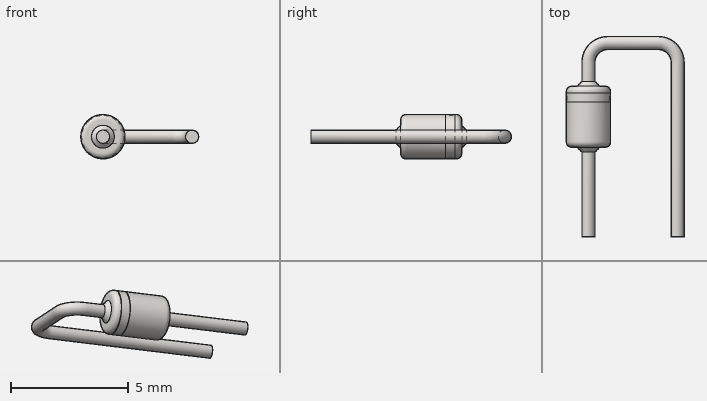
import cadquery as cq


wire_radius = 0.28
lead_pitch = 3.805
bend_radius = 0.82
bend_top = 8.55

housing_radius = 0.95
housing_length = 2.61
housing_start = 3.82
edge_radius = 0.23
cone_height = 0.205
cone_base_radius = 0.49

band_width = 0.4
band_end_distance = 0.28
band_thickness = 0.04

housing_end = housing_start + housing_length
straight_lead_length = housing_start - cone_height
bent_lead_start = housing_end + cone_height
band_end = housing_end - band_end_distance
band_start = band_end - band_width


def disc_on_y(radius, y):
    """Circle centred on the housing axis; negative extrusion lengths run toward +Y."""
    return cq.Workplane("XZ", origin=(0, y, 0)).circle(radius)


def make_band():
    """Thin ring that shows as a stripe around the housing."""
    inner_radius = housing_radius - band_thickness
    return disc_on_y(housing_radius, band_start).circle(inner_radius).extrude(-band_width)


def make_housing(band):
    """Rounded cylinder with a cone at each end and a groove for the band."""
    barrel = disc_on_y(housing_radius, housing_start).extrude(-housing_length)
    barrel = barrel.edges("%CIRCLE").fillet(edge_radius)
    cones = (
        cq.Workplane("XY")
        .moveTo(0, straight_lead_length)
        .lineTo(wire_radius, straight_lead_length)
        .lineTo(cone_base_radius, housing_start)
        .lineTo(cone_base_radius, housing_end)
        .lineTo(wire_radius, bent_lead_start)
        .lineTo(0, bent_lead_start)
        .close()
        .revolve(360, (0, 0, 0), (0, 1, 0))
    )
    return barrel.union(cones).cut(band)


def make_straight_lead():
    """Wire from the free end to the tip of the nearer cone."""
    return disc_on_y(wire_radius, 0).extrude(-straight_lead_length)


def make_bent_lead():
    """Wire from the farther cone that turns back beside the housing."""
    crossbar_y = bend_top - wire_radius
    bend_start_y = crossbar_y - bend_radius
    path = (
        cq.Workplane("XY")
        .moveTo(0, bent_lead_start)
        .lineTo(0, bend_start_y)
        .radiusArc((bend_radius, crossbar_y), bend_radius)
        .lineTo(lead_pitch - bend_radius, crossbar_y)
        .radiusArc((lead_pitch, bend_start_y), bend_radius)
        .lineTo(lead_pitch, 0)
    )
    return disc_on_y(wire_radius, bent_lead_start).sweep(path)


band = make_band()
housing = make_housing(band)
straight_lead = make_straight_lead()
bent_lead = make_bent_lead()

result = cq.Compound.makeCompound([
    housing.solids().val(),
    band.val(),
    straight_lead.val(),
    bent_lead.val(),
])